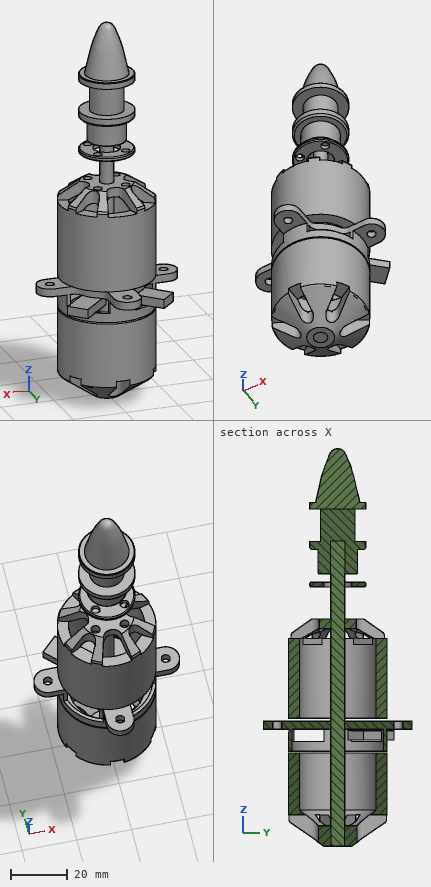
import cadquery as cq
import math

SHAFT_R = 2.5
FLANGE_R = 10.0
MOTOR_R = 17.5
CAVITY_R = 13.6
CUT_MARGIN = 1.4

HOUSING_FLOOR_Z = 7.4
HOUSING_SLOT_TOP_Z = 11.2
HOUSING_CONE_Z = 9.0
HOUSING_TOP_Z = 33.3
MOUNT_Z = 33.8
WINDOW_Z = 37.4
PLATE_Z = 41.6
PLATE_TOP_Z = 44.6
ROTOR_Z = 45.6
LEDGE_Z = 71.9
RIM_Z = 74.0
HUB_BOTTOM_Z = 77.5
HUB_TOP_Z = 81.0
WASHER_Z = 92.3
COLLET_Z = 97.0
COLLET_FLANGE_Z = 105.6
COLLET_FLANGE_TOP_Z = 108.6
SPINNER_Z = 120.0
SPINNER_FLANGE_TOP_Z = 122.5
TIP_Z = 141.6

SPINNER_BASE_R = 7.9
SPINNER_EDGE = 0.3
NOSE_LOWER_POINT = (6.1, 130.7)
NOSE_UPPER_POINT = (3.4, 138.6)
NOSE_BASE_DIRECTION = (-0.2, 1)
NOSE_TIP_DIRECTION = (-1, 0)

TUBE_R = 6.2
COLLAR_R = 7.1
COLLET_FLANGE_CHAMFER = 0.7
COLLAR_CHAMFER = 0.3

WASHER_THICKNESS = 1.7
WASHER_CHAMFER = 0.4
WASHER_BORE_R = 5.0
SCREW_HOLE_R = 1.5
SCREW_CIRCLE_R = 7.5

HUB_R = 9.8
HUB_UNDERSIDE_R = 7.4
RIB_END_R = 17.1
RIB_END_Z = 76.0
RIB_FOOT_Z = 75.2
OPENING_HALF_ANGLE = 16.0
WIDE_OPENING_CENTRE = 10.0
WIDE_OPENING_R = 3.4
NARROW_OPENING_CENTRE = 12.7
NARROW_OPENING_R = 2.8
LEDGE_FLAT = 12.7
LEDGE_TOP_Z = 75.0

TAB_HOLE_CIRCLE_R = 21.5
TAB_HALF_WIDTH = 5.0
TAB_HOLE_R = 1.5
PLATE_R = 13.9
PLATE_FILLET_R = 3.5
RING_BORE_R = 16.3

WIRE_ANGLES = (45, 135)
WIRE_WIDTH = 7.9
WIRE_HEIGHT = 3.4
WIRE_Z = 37.8
WIRE_INNER_R = 9.0
WIRE_OUTER_R = 24.4

NOSE_R = 5.0
NOSE_EDGE_R = 17.1
NOSE_EDGE_Z = 8.5
SLOT_COUNT = 6
FIRST_SLOT_ANGLE = 30.0
SLOT_R = 2.5
SLOT_CENTRE_R = 9.5
CONE_CAVITY_SLOPE = 0.83

CARDINALS = (0, 90, 180, 270)
DIAGONALS = (45, 135, 225, 315)


def revolve(profile):
    """Turn a radius-height outline, drawn in the XZ plane, about the Z axis."""
    return profile.close().revolve(360, (0, 0, 0), (0, 1, 0))


def cylinder(radius, bottom, top):
    return cq.Workplane("XY").workplane(offset=bottom).circle(radius).extrude(top - bottom)


def holes(radius, circle_radius, angles, bottom, top):
    """Vertical cylinders at the given angles on a circle about the axis."""
    points = [(circle_radius * math.cos(math.radians(a)), circle_radius * math.sin(math.radians(a)))
              for a in angles]
    return cq.Workplane("XY").workplane(offset=bottom).pushPoints(points).circle(radius).extrude(top - bottom)


def make_spinner():
    flange = cylinder(FLANGE_R, SPINNER_Z, SPINNER_FLANGE_TOP_Z).faces(">Z").chamfer(SPINNER_EDGE)
    nose = revolve(
        cq.Workplane("XZ")
        .moveTo(0, SPINNER_FLANGE_TOP_Z)
        .lineTo(SPINNER_BASE_R, SPINNER_FLANGE_TOP_Z)
        .spline(
            [NOSE_LOWER_POINT, NOSE_UPPER_POINT, (0, TIP_Z)],
            tangents=[NOSE_BASE_DIRECTION, NOSE_TIP_DIRECTION],
            includeCurrent=True,
        )
    )
    return flange.union(nose)


def make_collet():
    collar = cylinder(COLLAR_R, COLLET_Z, COLLET_FLANGE_Z).faces("<Z").chamfer(COLLAR_CHAMFER)
    flange = (
        cylinder(FLANGE_R, COLLET_FLANGE_Z, COLLET_FLANGE_TOP_Z)
        .faces("<Z").chamfer(COLLET_FLANGE_CHAMFER)
    )
    tube = cylinder(TUBE_R, COLLET_FLANGE_TOP_Z, SPINNER_Z)
    bore = cylinder(SHAFT_R, COLLET_Z, COLLET_FLANGE_TOP_Z)
    return collar.union(flange).union(tube).cut(bore)


def make_washer():
    top = WASHER_Z + WASHER_THICKNESS
    ring = cylinder(FLANGE_R, WASHER_Z, top).edges().chamfer(WASHER_CHAMFER)
    ring = ring.cut(cylinder(WASHER_BORE_R, WASHER_Z, top))
    return ring.cut(holes(SCREW_HOLE_R, SCREW_CIRCLE_R, DIAGONALS, WASHER_Z, top))


def make_shaft():
    return cylinder(SHAFT_R, 0, COLLET_FLANGE_TOP_Z)


def rotor_opening(centre, radius, angle):
    """An opening with a round inner end and sides that spread outward tangent to it."""
    spread = math.radians(OPENING_HALF_ANGLE)
    tangent_x = centre - radius * math.sin(spread)
    tangent_y = radius * math.cos(spread)
    end_x = MOTOR_R + CUT_MARGIN
    end_y = tangent_y + (end_x - tangent_x) * math.tan(spread)
    return (
        cq.Workplane("XY").workplane(offset=RIM_Z)
        .moveTo(end_x, -end_y)
        .lineTo(tangent_x, -tangent_y)
        .threePointArc((centre - radius, 0), (tangent_x, tangent_y))
        .lineTo(end_x, end_y)
        .close()
        .extrude(HUB_TOP_Z - RIM_Z)
        .rotate((0, 0, 0), (0, 0, 1), angle)
    )


def rotor_ledges():
    """Four flat-faced pads inside the rim, one below each narrow opening."""
    square = (
        cq.Workplane("XY").workplane(offset=LEDGE_Z)
        .rect(2 * LEDGE_FLAT, 2 * LEDGE_FLAT)
        .extrude(LEDGE_TOP_Z - LEDGE_Z)
        .rotate((0, 0, 0), (0, 0, 1), DIAGONALS[0])
    )
    rim_middle_r = (CAVITY_R + MOTOR_R) / 2
    return cylinder(rim_middle_r, LEDGE_Z, LEDGE_TOP_Z).cut(square)


def make_rotor():
    rotor = revolve(
        cq.Workplane("XZ")
        .moveTo(CAVITY_R, ROTOR_Z)
        .lineTo(MOTOR_R, ROTOR_Z)
        .lineTo(MOTOR_R, RIB_FOOT_Z)
        .lineTo(RIB_END_R, RIB_END_Z)
        .lineTo(HUB_R, HUB_TOP_Z)
        .lineTo(SHAFT_R, HUB_TOP_Z)
        .lineTo(SHAFT_R, HUB_BOTTOM_Z)
        .lineTo(HUB_UNDERSIDE_R, HUB_BOTTOM_Z)
        .lineTo(CAVITY_R, RIM_Z)
    )
    rotor = rotor.union(rotor_ledges())
    for angle in CARDINALS:
        rotor = rotor.cut(rotor_opening(WIDE_OPENING_CENTRE, WIDE_OPENING_R, angle))
    for angle in DIAGONALS:
        rotor = rotor.cut(rotor_opening(NARROW_OPENING_CENTRE, NARROW_OPENING_R, angle))
    return rotor.cut(holes(SCREW_HOLE_R, SCREW_CIRCLE_R, DIAGONALS, ROTOR_Z, HUB_TOP_Z))


def mount_plate():
    """A round plate with four round-ended tabs, filleted where they join."""
    thickness = PLATE_TOP_Z - PLATE_Z
    plate = cylinder(PLATE_R, PLATE_Z, PLATE_TOP_Z)
    arms = cq.Workplane("XY").workplane(offset=PLATE_Z)
    length = 2 * (TAB_HOLE_CIRCLE_R + TAB_HALF_WIDTH)
    for angle in (0, 90):
        plate = plate.union(arms.slot2D(length, 2 * TAB_HALF_WIDTH, angle).extrude(thickness))
    inner = cq.selectors.BoxSelector(
        (-MOTOR_R, -MOTOR_R, PLATE_Z), (MOTOR_R, MOTOR_R, PLATE_TOP_Z)
    )
    plate = plate.edges("|Z").edges(inner).fillet(PLATE_FILLET_R)
    return plate.cut(holes(TAB_HOLE_R, TAB_HOLE_CIRCLE_R, CARDINALS, PLATE_Z, PLATE_TOP_Z))


def make_mount():
    ring = cylinder(MOTOR_R, MOUNT_Z, PLATE_Z).cut(cylinder(RING_BORE_R, MOUNT_Z, PLATE_Z))
    window_side = MOTOR_R
    window_centre = TAB_HALF_WIDTH + window_side / 2
    windows = (
        cq.Workplane("XY").workplane(offset=WINDOW_Z)
        .rect(2 * window_centre, 2 * window_centre, forConstruction=True).vertices()
        .rect(window_side, window_side)
        .extrude(PLATE_Z - WINDOW_Z)
    )
    mount = ring.cut(windows).union(mount_plate())
    return mount.cut(cylinder(SHAFT_R, PLATE_Z, PLATE_TOP_Z))


def make_wire(angle):
    length = WIRE_OUTER_R - WIRE_INNER_R
    return (
        cq.Workplane("XY").workplane(offset=WIRE_Z)
        .center((WIRE_INNER_R + WIRE_OUTER_R) / 2, 0)
        .rect(length, WIRE_WIDTH)
        .extrude(WIRE_HEIGHT)
        .rotate((0, 0, 0), (0, 0, 1), angle)
    )


def make_housing():
    slot_tip_r = SLOT_CENTRE_R - SLOT_R
    cavity_edge_z = HOUSING_FLOOR_Z + (CAVITY_R - slot_tip_r) * CONE_CAVITY_SLOPE
    housing = revolve(
        cq.Workplane("XZ")
        .moveTo(SHAFT_R, 0)
        .lineTo(NOSE_R, 0)
        .lineTo(NOSE_EDGE_R, NOSE_EDGE_Z)
        .lineTo(MOTOR_R, HOUSING_CONE_Z)
        .lineTo(MOTOR_R, HOUSING_TOP_Z)
        .lineTo(CAVITY_R, HOUSING_TOP_Z)
        .lineTo(CAVITY_R, cavity_edge_z)
        .lineTo(slot_tip_r, HOUSING_FLOOR_Z)
        .lineTo(SHAFT_R, HOUSING_FLOOR_Z)
    )
    outer_end = MOTOR_R + CUT_MARGIN
    for i in range(SLOT_COUNT):
        slot = (
            cq.Workplane("XY")
            .moveTo(outer_end, -SLOT_R)
            .lineTo(SLOT_CENTRE_R, -SLOT_R)
            .threePointArc((slot_tip_r, 0), (SLOT_CENTRE_R, SLOT_R))
            .lineTo(outer_end, SLOT_R)
            .close()
            .extrude(HOUSING_SLOT_TOP_Z)
            .rotate((0, 0, 0), (0, 0, 1), FIRST_SLOT_ANGLE + i * 360 / SLOT_COUNT)
        )
        housing = housing.cut(slot)
    return housing


spinner = make_spinner()
collet = make_collet()
washer = make_washer()
shaft = make_shaft()
rotor = make_rotor()
mount = make_mount()
wires = [make_wire(angle) for angle in WIRE_ANGLES]
housing = make_housing()

result = cq.Compound.makeCompound([
    spinner.val(),
    collet.val(),
    washer.val(),
    shaft.val(),
    rotor.val(),
    mount.val(),
    *[wire.val() for wire in wires],
    housing.val(),
])